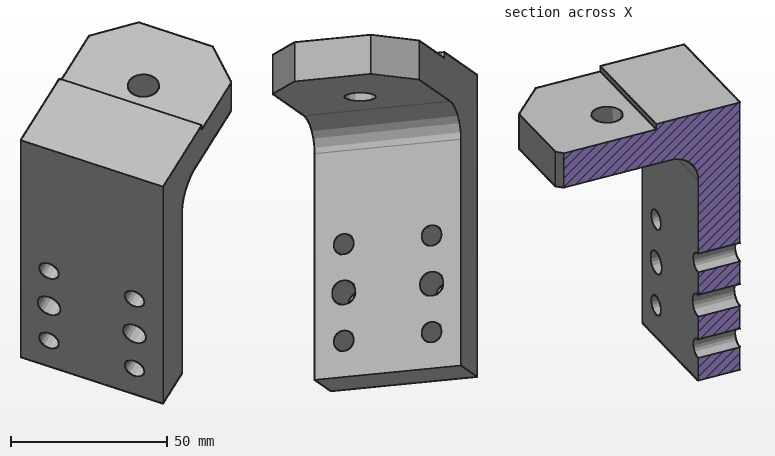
import cadquery as cq

width = 50.0
depth = 65.0
height = 100.0

wall_thickness = 15.0
flange_drop = 15.0
inner_radius = 10.0
step_depth = 2.0
step_start = 30.0
corner_chamfer = 12.0

flange_hole_diameter = 10.0
flange_hole_y = 40.0

column_spacing = 30.0
middle_row_z = 28.0
row_pitch = 16.0
screw_hole_diameter = 6.8
dowel_hole_diameter = 8.0


def bracket_body():
    """L-shaped side profile with a stepped top, extruded across the width."""
    underside_z = height - flange_drop
    profile = (
        cq.Workplane("YZ")
        .moveTo(0, 0)
        .lineTo(wall_thickness, 0)
        .lineTo(wall_thickness, underside_z - inner_radius)
        .radiusArc((wall_thickness + inner_radius, underside_z), inner_radius)
        .lineTo(depth, underside_z)
        .lineTo(depth, height - step_depth)
        .lineTo(step_start, height - step_depth)
        .lineTo(step_start, height)
        .lineTo(0, height)
        .close()
    )
    return profile.extrude(width / 2, both=True)


def chamfer_flange_corners(body):
    """Cut the two free corners of the flange at 45 degrees."""
    return body.faces(">Y").edges("|Z").chamfer(corner_chamfer)


def flange_hole():
    return (
        cq.Workplane("XY")
        .center(0, flange_hole_y)
        .circle(flange_hole_diameter / 2)
        .extrude(height)
    )


def plate_hole_row(z, diameter):
    """A pair of cylinders through the upright plate at height z."""
    half_spacing = column_spacing / 2
    return (
        cq.Workplane("XZ")
        .pushPoints([(-half_spacing, z), (half_spacing, z)])
        .circle(diameter / 2)
        .extrude(-wall_thickness)
    )


result = chamfer_flange_corners(bracket_body())
result = result.cut(flange_hole())

result = result.cut(plate_hole_row(middle_row_z, dowel_hole_diameter))
for offset in (-row_pitch, row_pitch):
    result = result.cut(plate_hole_row(middle_row_z + offset, screw_hole_diameter))